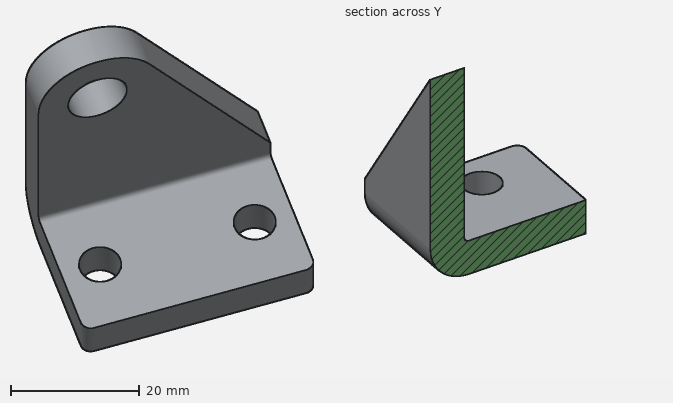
import cadquery as cq
import math

base_length = 28.7
width = 38.1
height = 44.45
thickness = 6.3
inner_bend_radius = 0.85
outer_bend_radius = inner_bend_radius + thickness
base_corner_radius = 1.65

lug_radius = 9.7
lug_center_y = lug_radius
lug_flat = 0.4
lug_center_z = height - lug_radius
pin_hole_diameter = 9.65
shoulder_height = 9.75

mount_hole_diameter = 6.6
mount_hole_x = 17.55
mount_hole_edge_distance = 6.35


def bent_plate():
    """L-shaped plate with concentric inner and outer bend radii."""
    plate = (
        cq.Workplane("XZ")
        .polyline([
            (0, 0),
            (base_length, 0),
            (base_length, thickness),
            (thickness, thickness),
            (thickness, height),
            (0, height),
        ])
        .close()
        .extrude(-width)
    )
    plate = plate.edges("|Y and <X and <Z").fillet(outer_bend_radius)
    inner_corner = cq.selectors.NearestToPointSelector((thickness, width / 2, thickness))
    plate = plate.edges(inner_corner).fillet(inner_bend_radius)
    return plate.edges("|Z and >X").fillet(base_corner_radius)


def side_outline():
    """Solid spanning the full base length, with the sloping lug outline in YZ."""
    slope_arc_y = lug_center_y + lug_flat
    run = width - slope_arc_y
    drop = lug_center_z - shoulder_height
    shoulder_distance = math.hypot(run, drop)
    tangent_angle = math.acos(lug_radius / shoulder_distance) - math.atan2(drop, run)

    def slope_arc_point(angle):
        return (
            slope_arc_y + lug_radius * math.cos(angle),
            lug_center_z + lug_radius * math.sin(angle),
        )

    middle_angle = (tangent_angle + math.pi / 2) / 2
    quarter_offset = lug_radius * math.sqrt(0.5)
    quarter_middle = (lug_center_y - quarter_offset, lug_center_z + quarter_offset)
    return (
        cq.Workplane("YZ")
        .moveTo(0, 0)
        .lineTo(width, 0)
        .lineTo(width, shoulder_height)
        .lineTo(*slope_arc_point(tangent_angle))
        .threePointArc(slope_arc_point(middle_angle), (slope_arc_y, height))
        .lineTo(lug_center_y, height)
        .threePointArc(quarter_middle, (0, lug_center_z))
        .close()
        .extrude(base_length)
    )


def pin_hole():
    return (
        cq.Workplane("YZ")
        .center(lug_center_y, lug_center_z)
        .circle(pin_hole_diameter / 2)
        .extrude(thickness)
    )


def mount_holes():
    return (
        cq.Workplane("XY")
        .pushPoints([
            (mount_hole_x, mount_hole_edge_distance),
            (mount_hole_x, width - mount_hole_edge_distance),
        ])
        .circle(mount_hole_diameter / 2)
        .extrude(thickness)
    )


result = bent_plate().intersect(side_outline()).cut(pin_hole()).cut(mount_holes())